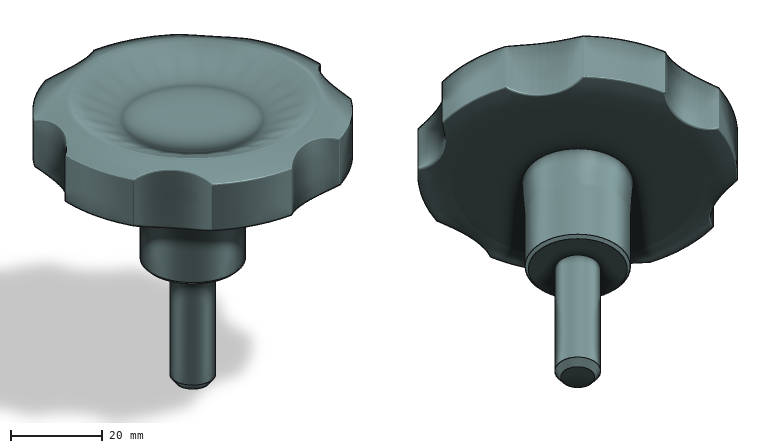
import cadquery as cq
import math

total_height = 70.0
head_bottom = 53.8
rim_bottom = 56.0
rim_top = 67.4
hub_bottom = 29.95
collar_top = 44.6

head_radius = 35.0
flat_radius = 27.5
crown_sag = 0.35
edge_round = 0.4

scallop_count = 6
scallop_radius = 15.2
scallop_depth = 3.8

dish_floor_radius = 15.5
dish_depth = 4.9
dish_round = 1.8

hub_diameter = 23.0
hub_radius = hub_diameter / 2
hub_root_radius = 12.2
hub_chamfer = 0.7
neck_round = 6.3
pin_diameter = 10.0
pin_radius = pin_diameter / 2
pin_chamfer_height = 1.7
pin_tip_radius = 3.7

AXIS_START = (0, 0, 0)
AXIS_END = (0, 1, 0)


def crown_middle(face_height, rim_height):
    """Midpoint of a shallow arc bulging outward between the flat face and the rim."""
    run = head_radius - flat_radius
    rise = face_height - rim_height
    chord = math.hypot(run, rise)
    return (
        (head_radius + flat_radius) / 2 + crown_sag * abs(rise) / chord,
        (face_height + rim_height) / 2 + math.copysign(crown_sag * run / chord, rise),
    )


def make_scallops():
    """Cylinders that bite the finger scallops out of the rim."""
    scallop_center = head_radius - scallop_depth + scallop_radius
    return (
        cq.Workplane("XY")
        .polarArray(scallop_center, 90, 360, scallop_count)
        .circle(scallop_radius)
        .extrude(total_height)
    )


def make_grip():
    """Domed disc with finger scallops and softened rim edges."""
    disc = (
        cq.Workplane("XZ")
        .moveTo(0, head_bottom)
        .lineTo(flat_radius, head_bottom)
        .threePointArc(crown_middle(head_bottom, rim_bottom), (head_radius, rim_bottom))
        .lineTo(head_radius, rim_top)
        .threePointArc(crown_middle(total_height, rim_top), (flat_radius, total_height))
        .lineTo(0, total_height)
        .close()
        .revolve(360, AXIS_START, AXIS_END)
    )
    grip = disc.cut(make_scallops())
    rim_edges = grip.edges("(not <Z) and (not >Z)")
    return rim_edges.fillet(edge_round)


def make_dish():
    """Conical recess with a flat floor."""
    floor = total_height - dish_depth
    return (
        cq.Workplane("XZ")
        .polyline([
            (0, floor),
            (dish_floor_radius, floor),
            (flat_radius, total_height),
            (0, total_height),
        ])
        .close()
        .revolve(360, AXIS_START, AXIS_END)
    )


def make_head():
    """Grip with the dish sunk into it; the dish floor and mouth edges are rounded."""
    dished = make_grip().cut(make_dish())
    mouth_and_floor = dished.faces("%CONE").edges("%CIRCLE")
    return mouth_and_floor.fillet(dish_round)


def make_stem():
    """Chamfered collar blended by an arc into a flared neck, with a chamfered pin below."""
    flare_angle = math.atan2(hub_root_radius - hub_radius, head_bottom - collar_top)
    blend_setback = neck_round * math.tan(flare_angle / 2)
    blend_start = (hub_radius, collar_top - blend_setback)
    blend_end = (
        hub_radius + blend_setback * math.sin(flare_angle),
        collar_top + blend_setback * math.cos(flare_angle),
    )
    return (
        cq.Workplane("XZ")
        .polyline([
            (0, 0),
            (pin_tip_radius, 0),
            (pin_radius, pin_chamfer_height),
            (pin_radius, hub_bottom),
            (hub_radius - hub_chamfer, hub_bottom),
            (hub_radius, hub_bottom + hub_chamfer),
            blend_start,
        ])
        .tangentArcPoint(blend_end, relative=False)
        .lineTo(hub_root_radius, head_bottom)
        .lineTo(0, head_bottom)
        .close()
        .revolve(360, AXIS_START, AXIS_END)
    )


result = make_head().union(make_stem())